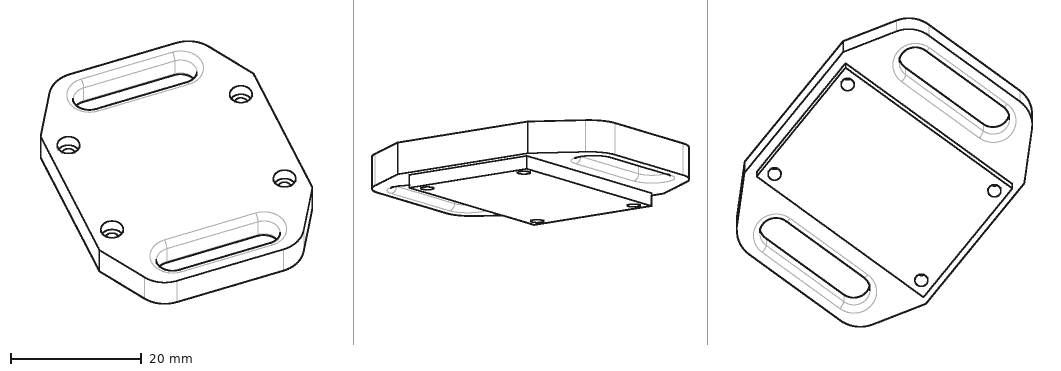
import cadquery as cq
import math

plate_length = 45.0
plate_width = 35.0
plate_thickness = 5.0
flat_length = 24.75
corner_slope = math.radians(30)
corner_radius = 5.0

pad_length = 22.3
pad_width = 32.2
pad_height = 2.02

slot_spacing = 35.0
slot_length = 20.0
slot_width = 5.0
slot_rounding = 1.0

hole_spacing_x = 18.35
hole_spacing_y = 28.35
hole_diameter = 2.0
counterbore_diameter = 3.4
counterbore_depth = 2.0


def make_plate():
    """Plate with sloped corners, rounded where they meet the short sides."""
    half_length = plate_length / 2
    half_width = plate_width / 2
    half_flat = flat_length / 2
    corner_y = half_width - (half_length - half_flat) * math.tan(corner_slope)
    outline = [
        (half_flat, half_width),
        (half_length, corner_y),
        (half_length, -corner_y),
        (half_flat, -half_width),
        (-half_flat, -half_width),
        (-half_length, -corner_y),
        (-half_length, corner_y),
        (-half_flat, half_width),
    ]
    plate = cq.Workplane("XY").polyline(outline).close().extrude(plate_thickness)
    short_side_edges = plate.faces("<X or >X").edges("|Z")
    return short_side_edges.fillet(corner_radius)


def cut_slots(body):
    """Through slots with both rims rounded over."""
    body = (
        body.faces(">Z")
        .workplane(origin=(0, 0, plate_thickness))
        .pushPoints([(-slot_spacing / 2, 0), (slot_spacing / 2, 0)])
        .slot2D(slot_length, slot_width, 90)
        .cutThruAll()
    )
    upper_rims = body.faces(">Z").wires().objects[1:]
    lower_rims = body.faces("<Z").wires().objects[1:]
    return body.newObject(upper_rims + lower_rims).edges().fillet(slot_rounding)


def add_pad(body):
    """Rectangular pad on the underside."""
    pad = cq.Workplane("XY").rect(pad_length, pad_width).extrude(-pad_height)
    return body.union(pad)


def cut_screw_holes(body):
    """Four holes through plate and pad, counterbored from above."""
    return (
        body.faces(">Z")
        .workplane(origin=(0, 0, plate_thickness))
        .rect(hole_spacing_x, hole_spacing_y, forConstruction=True)
        .vertices()
        .cboreHole(hole_diameter, counterbore_diameter, counterbore_depth)
    )


slotted_plate = cut_slots(make_plate())
result = cut_screw_holes(add_pad(slotted_plate))